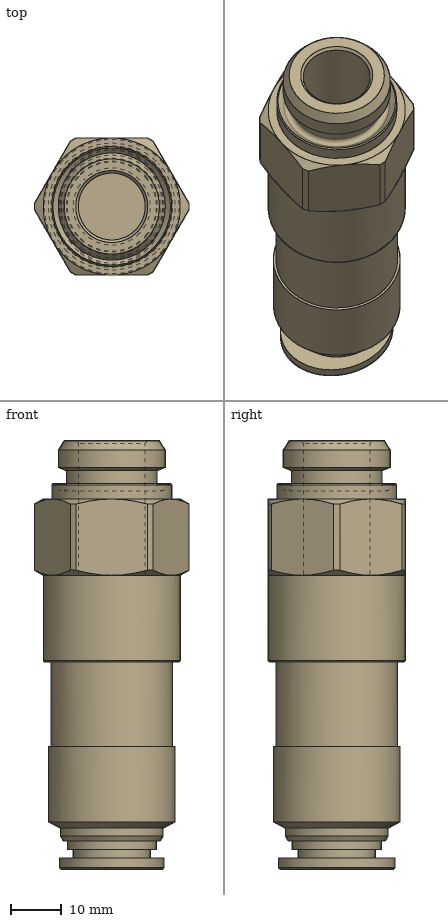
import cadquery as cq
import math

collar_top = 2.3
stem_top = 3.9
nose_step = 5.6
nose_chamfer_top = 6.6
nose_top = 8.1
sleeve_bottom = 9.4
sleeve_top = 24.2
body_bottom = 40.9
hex_bottom = 57.9
hex_top = 73.0
flange_top = 76.0
neck_top = 78.5
tip_bottom = 79.2
tip_chamfer_bottom = 82.6
overall_height = 84.45

stem_radius = 7.6
nose_step_radius = 8.8
nose_chamfer_radius = 9.55
nose_radius = 10.1
sleeve_radius = 12.5
waist_radius = 12.0
flange_radius = 11.8
neck_radius = 8.95
tip_radius = 10.55
tip_end_radius = 9.4
edge_break = 0.25

groove_root_radius = 0.85
groove_wall_angle = 45.0

across_flats = 27.0
hex_corner_radius = 15.24
body_radius = across_flats / 2
hex_chamfer_angle = 30.0

collar_half_x = 10.3
collar_half_y = 11.5
collar_chamfer = 0.3

bore_radius = 6.6
bore_chamfer = 0.5
bore_depth = overall_height - hex_bottom


def revolve_profile(points):
    """Turn a closed (radius, z) outline around the Z axis."""
    return cq.Workplane("XZ").polyline(points).close().revolve(360, (0, 0, 0), (0, 1, 0))


def make_turned_body():
    return revolve_profile([
        (0, 0),
        (stem_radius, 0),
        (stem_radius, stem_top),
        (nose_step_radius, stem_top),
        (nose_step_radius, nose_step),
        (nose_chamfer_radius, nose_step),
        (nose_radius, nose_chamfer_top),
        (nose_radius, nose_top),
        (sleeve_radius, sleeve_bottom),
        (sleeve_radius, sleeve_top),
        (waist_radius, sleeve_top),
        (waist_radius, body_bottom),
        (body_radius - edge_break, body_bottom),
        (body_radius, body_bottom + edge_break),
        (body_radius, hex_top),
        (flange_radius, hex_top),
        (flange_radius, flange_top - edge_break),
        (flange_radius - edge_break, flange_top),
        (neck_radius, flange_top),
        (neck_radius, neck_top),
        (tip_radius, tip_bottom),
        (tip_radius, tip_chamfer_bottom),
        (tip_end_radius, overall_height),
        (0, overall_height),
    ])


def make_seal_groove():
    """Recess in the flange top; the root arc is tangent to the neck and to the wall."""
    wall_angle = math.radians(groove_wall_angle)
    rim_radius = flange_radius - edge_break
    root_center_radius = neck_radius + groove_root_radius
    wall_foot_radius = root_center_radius + groove_root_radius * math.sin(wall_angle)
    wall_foot_z = flange_top - (rim_radius - wall_foot_radius) * math.tan(wall_angle)
    root_center_z = wall_foot_z + groove_root_radius * math.cos(wall_angle)
    root_bottom = (root_center_radius, root_center_z - groove_root_radius)
    return (
        cq.Workplane("XZ")
        .moveTo(neck_radius, flange_top)
        .lineTo(neck_radius, root_center_z)
        .threePointArc(root_bottom, (wall_foot_radius, wall_foot_z))
        .lineTo(rim_radius, flange_top)
        .close()
        .revolve(360, (0, 0, 0), (0, 1, 0))
    )


def make_hexagon():
    """Hexagon with two flats facing Y, trimmed by a cylinder with conical ends."""
    across_corners = across_flats / math.cos(math.radians(30))
    chamfer_drop = (hex_corner_radius - body_radius) * math.tan(math.radians(hex_chamfer_angle))
    prism = (
        cq.Workplane("XY", origin=(0, 0, hex_bottom))
        .polygon(6, across_corners)
        .extrude(hex_top - hex_bottom)
    )
    trimming_envelope = revolve_profile([
        (0, hex_bottom),
        (body_radius, hex_bottom),
        (hex_corner_radius, hex_bottom + chamfer_drop),
        (hex_corner_radius, hex_top - chamfer_drop),
        (body_radius, hex_top),
        (0, hex_top),
    ])
    return prism.intersect(trimming_envelope)


def make_collar():
    return (
        cq.Workplane("XY")
        .ellipse(collar_half_x, collar_half_y)
        .extrude(collar_top)
        .faces("<Z")
        .chamfer(collar_chamfer)
    )


def make_bore():
    bore_floor = overall_height - bore_depth
    return revolve_profile([
        (0, bore_floor),
        (bore_radius, bore_floor),
        (bore_radius, overall_height - bore_chamfer),
        (bore_radius + bore_chamfer, overall_height),
        (0, overall_height),
    ])


solid_body = make_turned_body().union(make_hexagon()).union(make_collar())
result = solid_body.cut(make_seal_groove()).cut(make_bore())